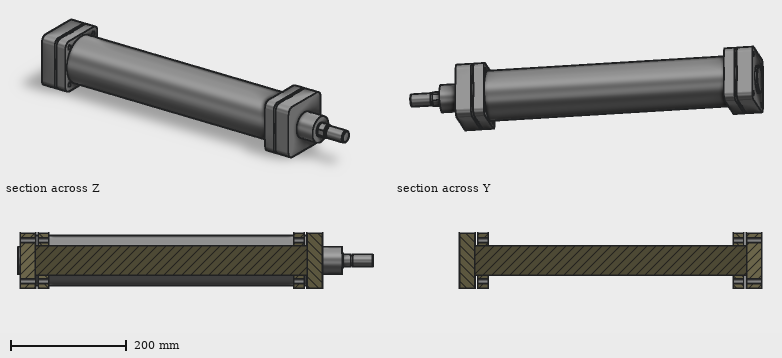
import cadquery as cq

plate_side = 96.0
corner_radius = 12.0
cap_thickness = 27.0
flange_thickness = 18.5
flange_gap = 4.5

hole_diameter = 8.0
hole_spacing = 71.0

boss_diameter = 48.0
rear_boss_length = 4.5
front_boss_length = 34.0
rear_boss_chamfer = 1.0

barrel_diameter = 87.5

rod_diameter = 25.0
shank_projection = 2.0
wrench_diameter = 24.5
wrench_length = 13.0
across_flats = 22.0
neck_diameter = 18.5
neck_length = 4.0
thread_diameter = 22.0
thread_chamfer = 2.0

overall_length = 616.0
rear_cap_start = rear_boss_length
barrel_start = rear_cap_start + cap_thickness
rear_flange_start = barrel_start + flange_gap
front_boss_end = 562.0
front_cap_end = front_boss_end - front_boss_length
barrel_end = front_cap_end - cap_thickness
front_flange_start = barrel_end - flange_gap - flange_thickness
wrench_start = front_boss_end + shank_projection
neck_start = wrench_start + wrench_length
thread_start = neck_start + neck_length


def cross_section(x):
    """Workplane across the cylinder axis at station x, facing +X."""
    return cq.Workplane("YZ", origin=(x, 0, 0))


def round_bar(x_start, x_end, diameter):
    """Solid cylinder along X between two stations."""
    return cross_section(x_start).circle(diameter / 2).extrude(x_end - x_start)


def square_plate(x_start, thickness):
    """Square plate with rounded corners."""
    plate = cross_section(x_start).rect(plate_side, plate_side).extrude(thickness)
    return plate.edges("|X").fillet(corner_radius)


def screw_holes(x_start, length):
    """Four cutters, one for each screw hole of a plate."""
    centres = cross_section(x_start).rect(hole_spacing, hole_spacing, forConstruction=True).vertices()
    return centres.circle(hole_diameter / 2).extrude(length)


def make_rear_cap():
    """Rear cap with four through holes and a short chamfered boss."""
    plate = square_plate(rear_cap_start, cap_thickness).cut(screw_holes(rear_cap_start, cap_thickness))
    boss = round_bar(0, rear_cap_start, boss_diameter).faces("<X").chamfer(rear_boss_chamfer)
    return plate.union(boss)


def make_front_cap():
    """Front cap with a long boss, bored through for the rod."""
    plate = square_plate(barrel_end, cap_thickness)
    boss = round_bar(front_cap_end, front_boss_end, boss_diameter)
    rod_bore = round_bar(barrel_end, front_boss_end, rod_diameter)
    return plate.union(boss).cut(rod_bore)


def make_flange(x_start):
    """Clamp flange that fits around the barrel."""
    barrel_bore = round_bar(x_start, x_start + flange_thickness, barrel_diameter)
    plate = square_plate(x_start, flange_thickness)
    return plate.cut(barrel_bore).cut(screw_holes(x_start, flange_thickness))


def make_rod():
    """Rod: shank, wrench section with flats facing -Y and +Y, neck and thread."""
    shank = round_bar(barrel_end, wrench_start, rod_diameter)
    wrench_round = round_bar(wrench_start, neck_start, wrench_diameter)
    between_flats = cross_section(wrench_start).rect(across_flats, wrench_diameter).extrude(wrench_length)
    wrench_section = wrench_round.intersect(between_flats)
    neck = round_bar(neck_start, thread_start, neck_diameter)
    thread = round_bar(thread_start, overall_length, thread_diameter).faces(">X").chamfer(thread_chamfer)
    return shank.union(wrench_section).union(neck).union(thread)


rear_cap = make_rear_cap()
front_cap = make_front_cap()
barrel = round_bar(barrel_start, barrel_end, barrel_diameter)
flanges = [make_flange(x_start) for x_start in (rear_flange_start, front_flange_start)]
rod = make_rod()

result = cq.Compound.makeCompound([
    rear_cap.val(),
    front_cap.val(),
    barrel.val(),
    *[flange.val() for flange in flanges],
    rod.val(),
])